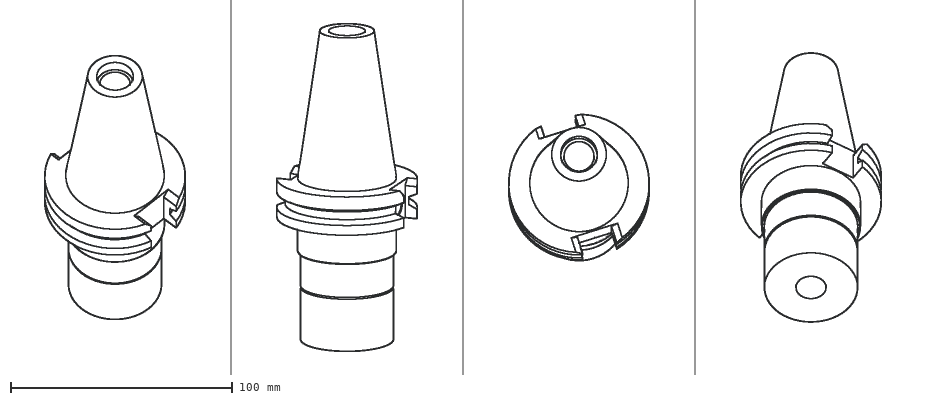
import cadquery as cq

TOTAL_HEIGHT = 144.5
BORE_RADIUS = 6.8

NUT_RADIUS = 21.1
NUT_HEIGHT = 24.4
NUT_CHAMFER_HEIGHT = 1.7
NUT_CHAMFER_INSET = 0.1

GAP_WIDTH = 0.9
NECK_RADIUS = 16.5
SLEEVE_RADIUS = NUT_RADIUS
SLEEVE_BOTTOM = NUT_HEIGHT + GAP_WIDTH
COLLAR_RADIUS = 22.4
COLLAR_BOTTOM = 41.0
COLLAR_CHAMFER = 0.5

FLANGE_RADIUS = 31.8
FLANGE_BOTTOM = 57.3
FLANGE_TOP = 75.3
GROOVE_RADIUS = 28.0
GROOVE_CENTRE = 65.5
GROOVE_FLOOR_WIDTH = 3.6
GROOVE_MOUTH_WIDTH = 7.1

TAPER_BASE = 76.5
TAPER_BASE_RADIUS = 22.2
TAPER_RATIO = 7 / 24
TAPER_TOP_RADIUS = TAPER_BASE_RADIUS - (TOTAL_HEIGHT - TAPER_BASE) * TAPER_RATIO / 2
COUNTERBORE_RADIUS = 8.2
COUNTERBORE_DEPTH = 5.0

SLOT_WIDTH = 16.2
SLOT_FLOOR_DISTANCES = {-1: 25.0, 1: 22.8}
SLOT_FLARE = 2.9
RECESS_DIAMETER = 9.5
RECESS_DEPTH = 0.5


def make_holder_blank():
    """Revolve the outside of the holder, with its bore and counterbore."""
    counterbore_floor = TOTAL_HEIGHT - COUNTERBORE_DEPTH
    half_floor = GROOVE_FLOOR_WIDTH / 2
    half_mouth = GROOVE_MOUTH_WIDTH / 2
    profile = [
        (BORE_RADIUS, NUT_HEIGHT),
        (NECK_RADIUS, NUT_HEIGHT),
        (NECK_RADIUS, SLEEVE_BOTTOM),
        (SLEEVE_RADIUS, SLEEVE_BOTTOM),
        (SLEEVE_RADIUS, COLLAR_BOTTOM),
        (COLLAR_RADIUS - COLLAR_CHAMFER, COLLAR_BOTTOM),
        (COLLAR_RADIUS, COLLAR_BOTTOM + COLLAR_CHAMFER),
        (COLLAR_RADIUS, FLANGE_BOTTOM),
        (FLANGE_RADIUS, FLANGE_BOTTOM),
        (FLANGE_RADIUS, GROOVE_CENTRE - half_mouth),
        (GROOVE_RADIUS, GROOVE_CENTRE - half_floor),
        (GROOVE_RADIUS, GROOVE_CENTRE + half_floor),
        (FLANGE_RADIUS, GROOVE_CENTRE + half_mouth),
        (FLANGE_RADIUS, FLANGE_TOP),
        (TAPER_BASE_RADIUS, FLANGE_TOP),
        (TAPER_BASE_RADIUS, TAPER_BASE),
        (TAPER_TOP_RADIUS, TOTAL_HEIGHT),
        (COUNTERBORE_RADIUS, TOTAL_HEIGHT),
        (COUNTERBORE_RADIUS, counterbore_floor),
        (BORE_RADIUS, counterbore_floor),
    ]
    return cq.Workplane("XZ").polyline(profile).close().revolve(360, (0, 0, 0), (0, 1, 0))


def make_drive_slot(side):
    """Cutter for one drive slot; side is +1 or -1 along X."""
    floor_distance = SLOT_FLOOR_DISTANCES[side]
    half_width = SLOT_WIDTH / 2
    half_flare = half_width + SLOT_FLARE
    profile = [
        (-half_width, FLANGE_BOTTOM),
        (half_width, FLANGE_BOTTOM),
        (half_width, FLANGE_TOP - SLOT_FLARE),
        (half_flare, FLANGE_TOP),
        (-half_flare, FLANGE_TOP),
        (-half_width, FLANGE_TOP - SLOT_FLARE),
    ]
    return (
        cq.Workplane("YZ", origin=(side * floor_distance, 0, 0))
        .polyline(profile)
        .close()
        .extrude(side * (FLANGE_RADIUS - floor_distance))
    )


def make_slot_recess():
    """Cutter for the shallow round recess in the floor of the -X drive slot."""
    return (
        cq.Workplane("YZ", origin=(-SLOT_FLOOR_DISTANCES[-1], 0, GROOVE_CENTRE))
        .circle(RECESS_DIAMETER / 2)
        .extrude(RECESS_DEPTH)
    )


def make_holder():
    """Taper holder with both drive slots and the shallow recess."""
    holder = make_holder_blank()
    for side in (-1, 1):
        holder = holder.cut(make_drive_slot(side))
    return holder.cut(make_slot_recess())


def make_nut():
    """Bored nut below the holder, with a slight lead-in at its upper rim."""
    profile = [
        (BORE_RADIUS, 0),
        (NUT_RADIUS, 0),
        (NUT_RADIUS, NUT_HEIGHT - NUT_CHAMFER_HEIGHT),
        (NUT_RADIUS - NUT_CHAMFER_INSET, NUT_HEIGHT),
        (BORE_RADIUS, NUT_HEIGHT),
    ]
    return cq.Workplane("XZ").polyline(profile).close().revolve(360, (0, 0, 0), (0, 1, 0))


holder = make_holder()
nut = make_nut()
result = cq.Compound.makeCompound([holder.val(), nut.val()])